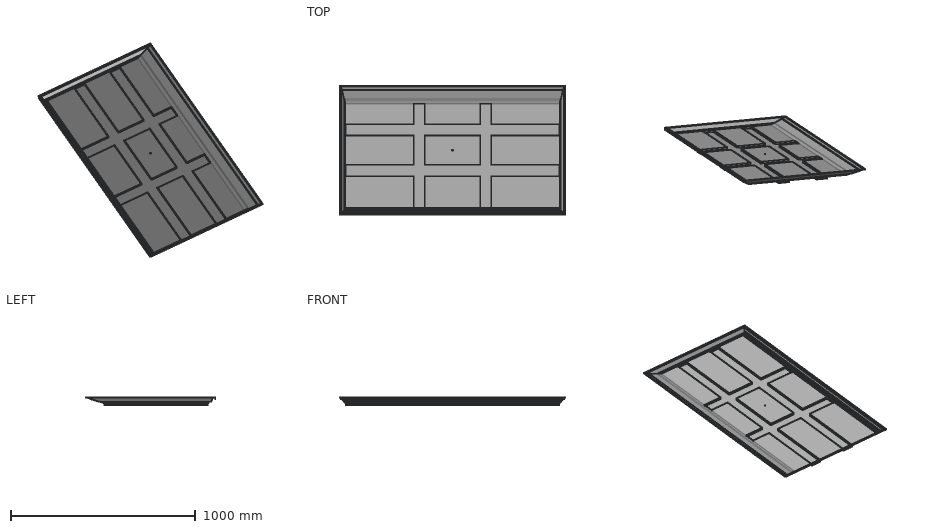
import cadquery as cq
import math


length = 1222.0
width = 699.0
height = 42.0
sheet = 0.3

rim_width = 4.0
front_rim_width = 8.2
shelf_width = 5.0
shelf_z = 39.0

lip_bottom = 30.0
lip_top = 39.7
lip_end_inset = 6.0

front_bend_z = 23.0
ledge_z = 17.0
floor_z = 10.6
ledge_width = 2.0
back_ledge_width = 4.3
front_ledge_width = 7.0

back_step_top = 34.0
back_step_drop = 2.2

back_angle = 17.8
back_step_angle = 44.0
side_angle = 54.0
front_upper_angle = 73.0
front_middle_angle = 47.0
front_lower_angle = 45.0

channel_width = 61.0
lengthwise_channel_y = 110.0
crosswise_channel_x = 180.0
channel_end_inset = 1.5

drain_diameter = 4.0


def run(drop, angle):
    """Horizontal length of a wall that falls by `drop` at `angle`."""
    return drop / math.tan(math.radians(angle))


def wall(edge, inward, rim, ledge, falls):
    """Inside outline of one basin wall, from the rim top to the floor.

    `edge` is the outer edge of the tray and `inward` (+1 or -1) points to its middle.
    `falls` lists the lower level and angle of each wall section; a ledge follows at the ledge level.
    """
    place = edge + inward * rim
    points = [(place, height), (place, shelf_z)]
    place += inward * shelf_width
    level = shelf_z
    points.append((place, level))
    for next_level, angle in falls:
        place += inward * run(level - next_level, angle)
        level = next_level
        points.append((place, level))
        if level == ledge_z:
            place += inward * ledge
            points.append((place, level))
    return points


side_falls = [(ledge_z, side_angle), (floor_z, side_angle)]
back_falls = [
    (back_step_top, back_angle),
    (back_step_top - back_step_drop, back_step_angle),
    (ledge_z, back_angle),
    (floor_z, back_angle),
]
front_falls = [
    (front_bend_z, front_upper_angle),
    (ledge_z, front_middle_angle),
    (floor_z, front_lower_angle),
]

left_wall = wall(-length / 2, 1, rim_width, ledge_width, side_falls)
right_wall = [(-x, z) for x, z in left_wall]
rim_front = -width / 2 + sheet
front_wall = wall(-width / 2, 1, front_rim_width, front_ledge_width, front_falls)
back_wall = wall(width / 2, -1, rim_width, back_ledge_width, back_falls)

floor_right = right_wall[-1][0]
floor_front = front_wall[-1][0]
floor_back = back_wall[-1][0]


def block(x_min, x_max, y_min, y_max, z_min, z_max):
    size = (x_max - x_min, y_max - y_min, z_max - z_min)
    return cq.Workplane("XY").box(*size, centered=False).translate((x_min, y_min, z_min))


def basin(growth):
    """Solid that fills the basin and the space inside the rim, grown outward by `growth`.

    It is the overlap of the left-to-right profile and the front-to-back profile.
    """
    def profile(plane, first_wall, second_wall, extent):
        outline = cq.Workplane(plane).polyline(first_wall + second_wall[::-1]).close()
        if growth:
            outline = outline.offset2D(growth, "intersection")
        return outline.extrude(extent / 2, both=True)

    lengthwise = profile("XZ", left_wall, right_wall, width)
    crosswise = profile("YZ", front_wall, back_wall, length)
    return lengthwise.intersect(crosswise)


def channels(growth):
    """Solid that fills the floor channels, grown outward by `growth`."""
    half_width = channel_width / 2 - sheet + growth
    bottom = sheet - growth
    end_inset = channel_end_inset - growth
    reach = floor_right - end_inset
    front = floor_front + end_inset
    back = floor_back - end_inset
    filled = cq.Workplane("XY")
    for side in (-1, 1):
        y = side * lengthwise_channel_y
        filled = filled.add(block(-reach, reach, y - half_width, y + half_width, bottom, floor_z))
        x = side * crosswise_channel_x
        filled = filled.add(block(x - half_width, x + half_width, front, back, bottom, floor_z))
    return filled.combine()


def border(inset, top):
    """Block over the rim's outline, moved in by `inset`, from the underside of the shelf to `top`."""
    x = length / 2 - inset
    back = width / 2 - inset
    return block(-x, x, rim_front + inset, back, shelf_z - sheet, top)


def lip():
    end = length / 2 - lip_end_inset
    return block(-end, end, -width / 2, rim_front, lip_bottom, lip_top)


basin_outside = basin(sheet).intersect(block(-length / 2, length / 2, -width / 2, width / 2, 0, height))
rim_outside = border(0, height).cut(border(sheet, height - sheet))
outside = rim_outside.union(basin_outside).union(channels(sheet)).union(lip())
tray = outside.cut(basin(0)).cut(channels(0))

drain = cq.Workplane("XY").circle(drain_diameter / 2).extrude(height)
result = tray.cut(drain).clean()